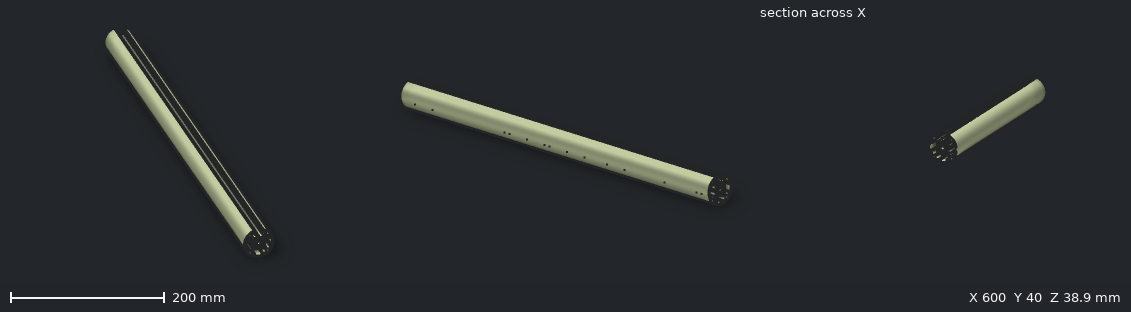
import cadquery as cq
import math

length = 600.0
outer_diameter = 40.0
outer_radius = outer_diameter / 2

core_width = 17.0
web_offset = 1.0

chamber_width = 20.0
chamber_top = 15.0
chamber_corner_radius = 0.9
groove_width = 11.0
rim_thickness = 2.0
notch_width = 2.5
notch_depth = 0.5

lip_bevel = 0.9

cell_outer_radius = 8.0
cell_inner_radius = 5.0
rib_thickness = 3.0
bore_radius = 3.0

core_half = core_width / 2
groove_half = groove_width / 2

mouth_half = groove_half + lip_bevel
lip_edge_height = math.sqrt(outer_radius**2 - mouth_half**2)
axis_height = (outer_radius - lip_edge_height) / 2

quarter_turns = (0, 90, 180, 270)


def profile_plane():
    """Section plane at the -X end, centred on the tube axis: local x is +Y, local y is +Z."""
    return cq.Workplane("YZ", origin=(-length / 2, 0, axis_height))


def rod(radius):
    return profile_plane().circle(radius).extrude(length)


def bar(width, bottom, top):
    return profile_plane().center(0, (bottom + top) / 2).rect(width, top - bottom).extrude(length)


def mirrored_prism(half_outline):
    """Prism whose section is the given +Y half outline and its mirror image."""
    mirror_half = [(-y, z) for y, z in reversed(half_outline)]
    return profile_plane().polyline(half_outline + mirror_half).close().extrude(length)


def turned(body, angle):
    return body.rotate((0, 0, axis_height), (1, 0, axis_height), angle)


def chamber():
    """Wide space above the core; its slanted lower corners leave the diagonal webs."""
    chamber_half = chamber_width / 2
    space = mirrored_prism(
        [
            (core_half - web_offset, core_half),
            (chamber_half, chamber_half + web_offset),
            (chamber_half, chamber_top),
        ]
    )
    return space.edges("|X").edges(">Z").fillet(chamber_corner_radius)


def groove():
    """Narrower recess above the chamber, ending at the inside of the rim."""
    return bar(groove_width, core_half, outer_radius).intersect(rod(outer_radius - rim_thickness))


def notch():
    """Shallow V along the middle of a core face."""
    notch_half = notch_width / 2
    outline = [(-notch_half, core_half), (0, core_half - notch_depth), (notch_half, core_half)]
    return profile_plane().polyline(outline).close().extrude(length)


def mouth():
    """Opening of the top channel through the rim, widening at the lip edges."""
    return mirrored_prism(
        [
            (groove_half, core_half),
            (groove_half, lip_edge_height - lip_bevel),
            (mouth_half, lip_edge_height),
            (mouth_half, outer_radius),
        ]
    )


def core_cells():
    """Four curved cells around the hub, parted by a cross of straight ribs."""
    rib = bar(rib_thickness, -outer_radius, outer_radius)
    return rod(cell_outer_radius).cut(rod(cell_inner_radius)).cut(rib).cut(turned(rib, 90))


channel = chamber().union(groove()).union(notch())

result = rod(outer_radius)
for angle in quarter_turns:
    result = result.cut(turned(channel, angle))
result = result.cut(mouth())
result = result.cut(core_cells())
result = result.cut(rod(bore_radius))